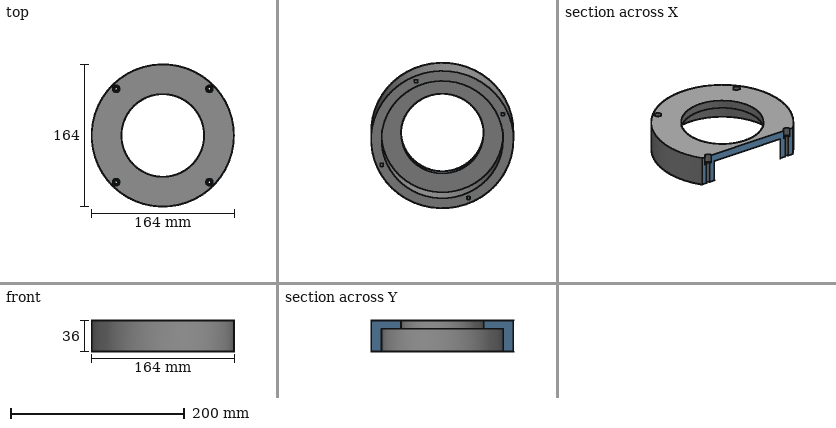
import cadquery as cq

outer_diameter = 164.0
height = 36.0

bore_diameter = 95.0
top_plate_thickness = 10.0
cavity_diameter = 140.0

screw_count = 4
screw_circle_diameter = 151.9
first_screw_angle = 45.0
screw_hole_diameter = 4.0
counterbore_diameter = 8.0
counterbore_depth = 10.0


def make_ring():
    """Flat-topped cup with a round opening in its top plate."""
    body = cq.Workplane("XY").circle(outer_diameter / 2).extrude(height)
    cavity_depth = height - top_plate_thickness
    cavity = cq.Workplane("XY").circle(cavity_diameter / 2).extrude(cavity_depth)
    bore = cq.Workplane("XY").circle(bore_diameter / 2).extrude(height)
    return body.cut(cavity).cut(bore)


def add_screw_holes(body):
    """Through holes in the outer wall, counterbored from the top face."""
    return (
        body.faces(">Z")
        .workplane(origin=(0, 0, height))
        .polarArray(screw_circle_diameter / 2, first_screw_angle, 360, screw_count)
        .cboreHole(screw_hole_diameter, counterbore_diameter, counterbore_depth)
    )


result = add_screw_holes(make_ring())